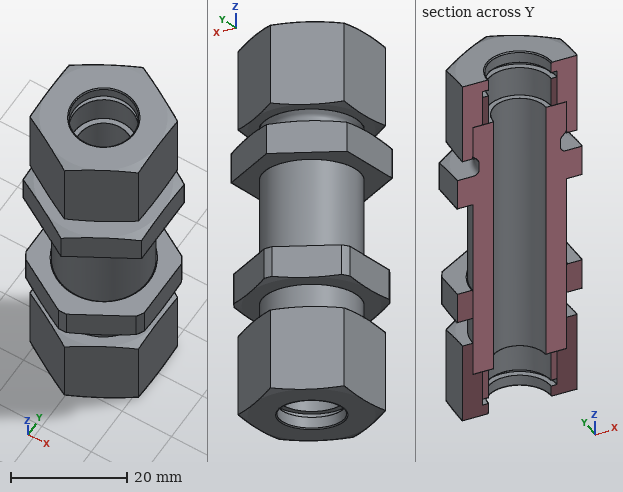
import cadquery as cq
import math


TOTAL_LENGTH = 69.0
THREAD_DIAMETER = 18.0
BORE_DIAMETER = 10.0
TUBE_DIAMETER = 12.0
HEX_BEVEL_ANGLE = 15.0
BLANK_MARGIN = 0.7

NUT_LENGTH = 15.5
NUT_FLATS = 22.0
NUT_RIM_CHAMFER = 0.2
NUT_LIP_DEPTH = 2.2

RING_DIAMETER = 14.3
RING_DEPTH = 3.3
RING_END_DEPTH = 9.0

COLLAR_FLATS = 24.0
COLLAR_HEIGHT = 5.9
COLLAR_TOP = 49.95
NECK_DIAMETER = 15.7
NECK_FILLET = 1.0
NECK_HEIGHT = 3.05
NECK_RUNOUT_ANGLE = 45.0

LOCKNUT_FLATS = COLLAR_FLATS
LOCKNUT_CORNER_DIAMETER = 26.85
LOCKNUT_HEIGHT = 5.9
LOCKNUT_BOTTOM = 20.55
LOCKNUT_THREAD_CHAMFER = 0.2


def cylinder(diameter, bottom, top):
    """Cylinder on the Z axis between two heights."""
    return cq.Workplane("XY").workplane(offset=bottom).circle(diameter / 2).extrude(top - bottom)


def bevel_envelope(flats, height, bevel_bottom, bevel_top):
    """Turned blank whose conical ends trim the corners of a hexagon."""
    flat_radius = flats / 2
    outer_radius = flats / math.sqrt(3) + BLANK_MARGIN
    drop = (outer_radius - flat_radius) * math.tan(math.radians(HEX_BEVEL_ANGLE))
    profile = cq.Workplane("XZ").moveTo(0, 0)
    if bevel_bottom:
        profile = profile.lineTo(flat_radius, 0).lineTo(outer_radius, drop)
    else:
        profile = profile.lineTo(outer_radius, 0)
    if bevel_top:
        profile = profile.lineTo(outer_radius, height - drop).lineTo(flat_radius, height)
    else:
        profile = profile.lineTo(outer_radius, height)
    return profile.lineTo(0, height).close().revolve(360, (0, 0), (0, 1))


def hexagon(flats, height, bevel_bottom=False, bevel_top=False):
    """Hexagonal prism standing on Z = 0, flats facing +X and -X, with optional turned ends."""
    across_corners = 2 * flats / math.sqrt(3)
    prism = cq.Workplane("XY").polygon(6, across_corners).extrude(height)
    prism = prism.rotate((0, 0, 0), (0, 0, 1), 30)
    return prism.intersect(bevel_envelope(flats, height, bevel_bottom, bevel_top))


def chamfer_hole(part, face, size):
    """Chamfer the smallest circular edge of an end face, which is the rim of its hole."""
    smallest = cq.selectors.RadiusNthSelector(0)
    return part.faces(face).edges("%CIRCLE").edges(smallest).chamfer(size)


def place_at_end(part, at_top):
    """Leave a part at the lower end, or turn it over onto the upper end."""
    if not at_top:
        return part
    return part.rotate((0, 0, 0), (1, 0, 0), 180).translate((0, 0, TOTAL_LENGTH))


def make_union_nut():
    """Lower union nut: tube hole through the lip, ring pocket and thread bore."""
    nut = hexagon(NUT_FLATS, NUT_LENGTH, bevel_bottom=True, bevel_top=True)
    nut = nut.cut(cylinder(TUBE_DIAMETER, 0, NUT_LIP_DEPTH))
    nut = nut.cut(cylinder(RING_DIAMETER, NUT_LIP_DEPTH, RING_END_DEPTH))
    nut = nut.cut(cylinder(THREAD_DIAMETER, RING_END_DEPTH, NUT_LENGTH))
    return chamfer_hole(nut, "<Z", NUT_RIM_CHAMFER)


def make_clamping_ring():
    """Lower clamping ring: plain sleeve around the tube, resting on the end of the body."""
    ring = cylinder(RING_DIAMETER, RING_DEPTH, RING_END_DEPTH)
    return ring.cut(cylinder(TUBE_DIAMETER, RING_DEPTH, RING_END_DEPTH))


def make_body():
    """Bored threaded stem with a hexagonal collar and an undercut between collar and upper thread."""
    stem_bottom = RING_END_DEPTH
    stem_top = TOTAL_LENGTH - RING_END_DEPTH
    thread_radius = THREAD_DIAMETER / 2
    bore_radius = BORE_DIAMETER / 2
    neck_radius = NECK_DIAMETER / 2
    runout = math.radians(NECK_RUNOUT_ANGLE)

    fillet_end_radius = neck_radius + NECK_FILLET * (1 - math.cos(runout))
    neck_top = COLLAR_TOP + NECK_HEIGHT
    neck_straight_top = neck_top - NECK_FILLET * math.sin(runout)
    fillet_mid_radius = neck_radius + NECK_FILLET * (1 - math.cos(runout / 2))
    fillet_mid_height = neck_straight_top + NECK_FILLET * math.sin(runout / 2)
    thread_start = neck_top + (thread_radius - fillet_end_radius) / math.tan(runout)

    quarter_mid = NECK_FILLET * (1 - math.sqrt(0.5))

    stem = (
        cq.Workplane("XZ")
        .moveTo(bore_radius, stem_bottom)
        .lineTo(thread_radius, stem_bottom)
        .lineTo(thread_radius, COLLAR_TOP)
        .lineTo(neck_radius + NECK_FILLET, COLLAR_TOP)
        .threePointArc(
            (neck_radius + quarter_mid, COLLAR_TOP + quarter_mid),
            (neck_radius, COLLAR_TOP + NECK_FILLET),
        )
        .lineTo(neck_radius, neck_straight_top)
        .threePointArc((fillet_mid_radius, fillet_mid_height), (fillet_end_radius, neck_top))
        .lineTo(thread_radius, thread_start)
        .lineTo(thread_radius, stem_top)
        .lineTo(bore_radius, stem_top)
        .close()
        .revolve(360, (0, 0), (0, 1))
    )

    collar_bottom = COLLAR_TOP - COLLAR_HEIGHT
    collar = hexagon(COLLAR_FLATS, COLLAR_HEIGHT, bevel_top=True).translate((0, 0, collar_bottom))
    collar = collar.cut(cylinder(BORE_DIAMETER, collar_bottom, COLLAR_TOP))
    return stem.union(collar)


def make_locknut():
    """Hexagonal lock nut with turned-down corners, a bevelled lower end and a countersunk upper end."""
    locknut = hexagon(LOCKNUT_FLATS, LOCKNUT_HEIGHT, bevel_bottom=True)
    locknut = locknut.intersect(cylinder(LOCKNUT_CORNER_DIAMETER, 0, LOCKNUT_HEIGHT))
    locknut = locknut.cut(cylinder(THREAD_DIAMETER, 0, LOCKNUT_HEIGHT))
    locknut = chamfer_hole(locknut, ">Z", LOCKNUT_THREAD_CHAMFER)
    return locknut.translate((0, 0, LOCKNUT_BOTTOM))


body = make_body()
locknut = make_locknut()

union_nuts = []
clamping_rings = []
for at_top in (False, True):
    union_nuts.append(place_at_end(make_union_nut(), at_top).solids().val())
    clamping_rings.append(place_at_end(make_clamping_ring(), at_top).solids().val())

result = cq.Compound.makeCompound([body.solids().val(), locknut.solids().val(), *union_nuts, *clamping_rings])